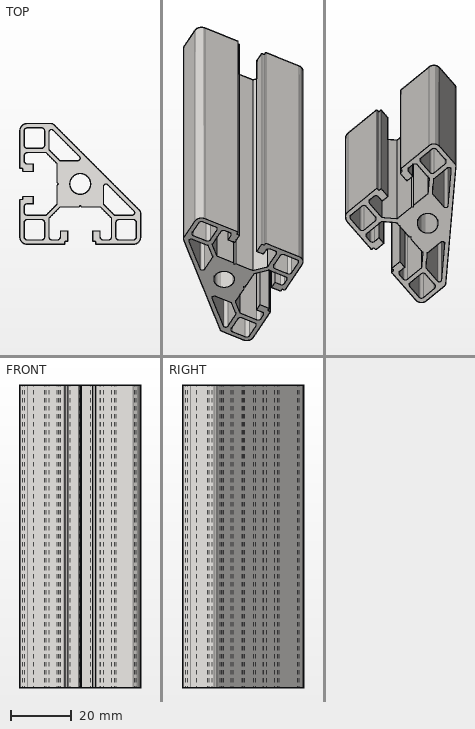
import cadquery as cq
import math

SIDE = 40.0
LENGTH = 100.0
WALL = 1.5
SPOKE_WALL = 1.4
CORNER_RADIUS = 2.5
TOP_WIDTH = 10.9
SLOPE_END_RADIUS = 1.5

BORE_DIAMETER = 6.8
CORE_HALF = 7.7
CORE_NOTCH_WIDTH = 0.9
CORE_NOTCH_DEPTH = 0.5

BOX_SIDE = 6.7
BOX_RADIUS = 1.0
HOLLOW_RADIUS = 0.8

SLOT_OPENING = 8.2
MOUTH_WIDTH = 10.2
MOUTH_DEPTH = 1.0
MOUTH_RADIUS = 0.2
LIP_DEPTH = 4.5
LIP_THICKNESS = 2.5
SLOT_FLOOR_RADIUS = 1.0

HALF = SIDE / 2
BOX_CENTRE = HALF - WALL - BOX_SIDE / 2
WEB_INNER = HALF - 2 * WALL - BOX_SIDE
SPOKE_SHIFT = SPOKE_WALL / math.sqrt(2)
SLOPE_SUM = TOP_WIDTH
HOLLOW_SUM = SLOPE_SUM - WALL * math.sqrt(2)
OVERRUN = 1.0


def prism(points):
    """Full-length prism on a closed outline."""
    return cq.Workplane("XY").polyline(points).close().extrude(LENGTH)


def edge_at(x, y):
    """Selector for the lengthwise edge at (x, y)."""
    return cq.selectors.NearestToPointSelector((x, y, LENGTH / 2))


def rounded(body, corners, radius):
    """Round the lengthwise edges of a body at the given corners."""
    for x, y in corners:
        body = body.edges(edge_at(x, y)).fillet(radius)
    return body


def make_blank():
    """Square bar with one corner cut off at 45 degrees."""
    cut = SLOPE_SUM - HALF
    square_corners = [(-HALF, HALF), (-HALF, -HALF), (HALF, -HALF)]
    slope_ends = [(HALF, cut), (cut, HALF)]
    blank = prism(square_corners + slope_ends)
    blank = rounded(blank, square_corners, CORNER_RADIUS)
    return rounded(blank, slope_ends, SLOPE_END_RADIUS)


def make_slot():
    """T-slot void on the -Y side, with its mouth step and core notch."""
    floor = -HALF + WALL
    lip_end = -HALF + LIP_DEPTH
    lip_inner = SLOT_OPENING / 2
    lip_outer = lip_inner + LIP_THICKNESS
    spoke_start = (WEB_INNER, -WEB_INNER - SPOKE_SHIFT)
    spoke_end = (CORE_HALF - SPOKE_SHIFT, -CORE_HALF)
    pocket_corners = [(lip_outer, floor), (WEB_INNER, floor)]
    right_half = [
        (lip_inner, -HALF - OVERRUN),
        (lip_inner, lip_end),
        (lip_outer, lip_end),
        *pocket_corners,
        spoke_start,
        spoke_end,
        (CORE_NOTCH_WIDTH / 2, -CORE_HALF),
    ]
    left_half = [(-x, y) for x, y in reversed(right_half)]
    notch_tip = (0, -CORE_HALF + CORE_NOTCH_DEPTH)
    slot = prism(right_half + [notch_tip] + left_half)
    pocket_corners += [(-x, y) for x, y in pocket_corners]
    slot = rounded(slot, pocket_corners, SLOT_FLOOR_RADIUS)
    mouth_height = MOUTH_DEPTH + OVERRUN
    mouth = (
        cq.Workplane("XY")
        .center(0, -HALF + MOUTH_DEPTH - mouth_height / 2)
        .rect(MOUTH_WIDTH, mouth_height)
        .extrude(LENGTH)
    )
    return slot.union(mouth)


def make_corner_boxes():
    """Rounded square hollows in the three square corners."""
    return (
        cq.Workplane("XY")
        .pushPoints([(-BOX_CENTRE, BOX_CENTRE), (-BOX_CENTRE, -BOX_CENTRE), (BOX_CENTRE, -BOX_CENTRE)])
        .rect(BOX_SIDE, BOX_SIDE)
        .extrude(LENGTH)
        .edges("|Z")
        .fillet(BOX_RADIUS)
    )


def make_slope_hollow():
    """Hollow behind the upper part of the sloping face."""
    sharp_ends = [(-WEB_INNER, HOLLOW_SUM + WEB_INNER), (HOLLOW_SUM - CORE_HALF, CORE_HALF)]
    spoke_side = [
        (-CORE_HALF + SPOKE_SHIFT, CORE_HALF),
        (-WEB_INNER, WEB_INNER + SPOKE_SHIFT),
    ]
    return rounded(prism(sharp_ends + spoke_side), sharp_ends, HOLLOW_RADIUS)


def mirrored_across_diagonal(body):
    """Swap X and Y of a full-length prism, keeping its height range."""
    flipped = body.rotate((0, 0, 0), (1, 1, 0), 180)
    return flipped.translate((0, 0, LENGTH))


slot = make_slot()
slope_hollow = make_slope_hollow()
bore = cq.Workplane("XY").circle(BORE_DIAMETER / 2).extrude(LENGTH)

result = make_blank().cut(make_corner_boxes()).cut(bore)
for void in (slot, slope_hollow):
    result = result.cut(void).cut(mirrored_across_diagonal(void))

for side in (-1, 1):
    outer_corner = (side * MOUTH_WIDTH / 2, -HALF)
    root_corner = (side * MOUTH_WIDTH / 2, -HALF + MOUTH_DEPTH)
    lip_corner = (side * SLOT_OPENING / 2, -HALF + MOUTH_DEPTH)
    for x, y in (outer_corner, root_corner, lip_corner):
        result = rounded(result, [(x, y), (y, x)], MOUTH_RADIUS)